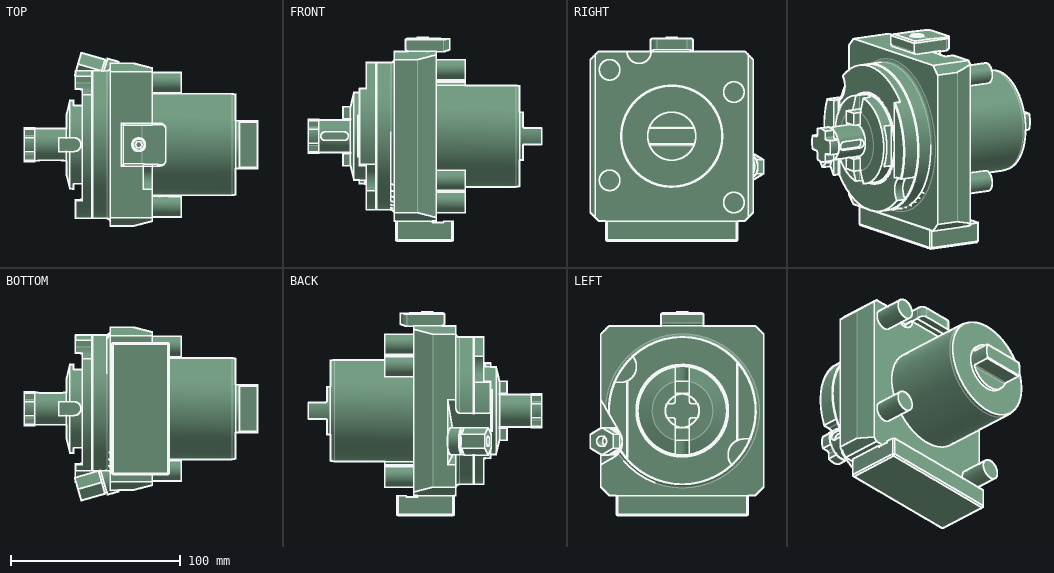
import cadquery as cq
import math


plate_depth = 24.9
plate_width = 96.0
plate_height = 100.0
plate_corner = 5.0
plate_taper_start = 13.6
plate_taper = 2.9
plate_back_notch_depth = 5.5
plate_back_notch_y = -19.3
plate_back_notch_radius = 7.2

disc_radius = 43.5
disc_front = -16.5
notch_floor = -10.7
groove_width = 0.4
groove_depth = 0.3
root_fillet = 1.9
seal_outer_radius = 27.2
seal_inner_radius = 26.5
seal_depth = 0.7
pad_front = -20.6
pad_inner_y = 32.2
pad_crest_z = 17.5
pad_low_z = 28.2
pad_rim_edge = 0.4
pad_end_fillet = 0.8
pad_ledge_width = 0.4
pad_ledge_height = 0.8
notch_y = 36.3
notch_low_z = 16.6
notch_radius = 9.4

flange_radius = 26.1
flange_front = -25.7
flange_rim_front = -23.7
flange_face_radius = 17.9
flat_front = -21.5
flat_y = 23.1

key_width = 8.1
key_front = -30.3
key_back = -17.2
key_inner_z = 10.2
key_outer_z = 17.5

shaft_radius = 9.6
tip_front = -50.6
tip_back = -44.4
tip_radius = 10.0
cross_width = 8.4
cross_fillet = 1.2
keyway_start = -43.2
keyway_end = -27.0
keyway_width = 5.1
keyway_depth = 3.0

spigot_radius = 30.0
spigot_end = 73.9
spigot_taper_length = 2.2
spigot_taper = 0.4
tang_radius = 14.2
tang_collar_end = 75.9
tang_end = 87.0
tang_thickness = 9.9
tang_fillet = 0.7
tang_edge = 0.4
pin_radius = 6.0
pin_end = 42.0
pin_y = 36.6
far_pin_z = 39.0
near_pin_z = 26.0

clamp_front = 6.6
clamp_back = 32.9
clamp_width = 25.2
clamp_top = 57.8
clamp_ridge = 18.6
clamp_rear_drop = 0.4
clamp_lip_drop = 0.4
clamp_lip_flat_end = 29.0
clamp_heel_rise = 1.0
clamp_corner = 3.9
clamp_bevel_width = 1.2
clamp_bevel_height = 1.0
clamp_front_fillet = 1.7
screw_x = 16.8
screw_radius = 3.3
screw_recess_radius = 4.0
screw_recess_depth = 0.8
screw_top = 58.2
screw_socket_radius = 2.0
screw_socket_depth = 2.0

block_front = 0.8
block_back = 35.0
block_width = 77.9
block_height = 12.0
block_edge = 1.0
block_relief_start = 22.7
block_relief_end = 29.2
block_relief_depth = 0.8

nozzle_tilt = 16
nozzle_x = -19.0
nozzle_y = 47.5
nozzle_z = -18.0
hex_flats = 14.0
hex_length = 14.6
neck_radius = 6.3
collar_start = 15.8
collar_radius = 8.0
nozzle_hole_radius = 3.0
nozzle_hole_depth = 12.4
seat_distance = 22.7
seat_reach = 34.4
seat_center_y = 45.7
seat_center_z = -18.5
seat_corner_radius = 10.5
seat_turn = -30


def x_cylinder(radius, start, end, y=0, z=0):
    """Cylinder along X between two X positions."""
    return cq.Workplane("YZ", origin=(start, y, z)).circle(radius).extrude(end - start)


def span_box(x_range, y_range, z_range):
    """Box between two limits along each axis."""
    sizes = [high - low for low, high in (x_range, y_range, z_range)]
    low_corner = (x_range[0], y_range[0], z_range[0])
    return cq.Workplane("XY").box(*sizes, centered=False).translate(low_corner)


def half_turn(shape):
    """The same shape turned half a turn about the tool axis."""
    return shape.rotate((0, 0, 0), (1, 0, 0), 180)


def make_plate():
    """Plate with corner chamfers, tapered sides and a round notch in its top back edge."""
    half_width = plate_width / 2
    outline = [
        (0, -half_width),
        (plate_taper_start, -half_width),
        (plate_depth, plate_taper - half_width),
        (plate_depth, half_width - plate_taper),
        (plate_taper_start, half_width),
        (0, half_width),
    ]
    tapered = cq.Workplane("XY").polyline(outline).close().extrude(plate_height / 2, both=True)
    chamfered = (
        cq.Workplane("YZ").rect(plate_width, plate_height).extrude(plate_depth)
        .edges("|X").chamfer(plate_corner)
    )
    back_notch = x_cylinder(
        plate_back_notch_radius, plate_depth - plate_back_notch_depth, plate_depth,
        plate_back_notch_y, plate_height / 2,
    )
    return tapered.intersect(chamfered).cut(back_notch)


def make_disc():
    """Disc with a flared root, a thin groove, two raised pads and two notches."""
    flare_radius = disc_radius + root_fillet
    arc_shift = root_fillet * (1 - math.sqrt(0.5))
    disc = (
        cq.Workplane("XY").moveTo(disc_front, 0)
        .lineTo(disc_front, disc_radius)
        .lineTo(notch_floor, disc_radius)
        .lineTo(notch_floor, disc_radius - groove_depth)
        .lineTo(notch_floor + groove_width, disc_radius - groove_depth)
        .lineTo(notch_floor + groove_width, disc_radius)
        .lineTo(-root_fillet, disc_radius)
        .threePointArc((-arc_shift, disc_radius + arc_shift), (0, flare_radius))
        .lineTo(0, 0).close()
        .revolve(360, (0, 0, 0), (1, 0, 0))
    )
    seal_groove = x_cylinder(seal_outer_radius, disc_front, disc_front + seal_depth).cut(
        x_cylinder(seal_inner_radius, disc_front, disc_front + seal_depth)
    )
    pad_z = (-pad_low_z, pad_crest_z)
    ledge_y = (pad_inner_y, disc_radius)
    wall_y = (pad_inner_y + pad_ledge_width, disc_radius)
    pad_rim = x_cylinder(disc_radius, pad_front, disc_front).faces("<X").chamfer(pad_rim_edge)
    wall = span_box((pad_front, disc_front), wall_y, pad_z)
    ledge = span_box((disc_front - pad_ledge_height, disc_front), ledge_y, pad_z)
    wall = wall.edges("|X and <Y").fillet(pad_end_fillet)
    ledge = ledge.edges("|X and <Y").fillet(pad_end_fillet)
    pad = wall.union(ledge).intersect(pad_rim)
    notch_z = notch_low_z + notch_radius
    notch = x_cylinder(notch_radius, pad_front, notch_floor, notch_y, notch_z).union(
        span_box((pad_front, notch_floor), (notch_y, disc_radius), (notch_low_z, notch_z))
    )
    disc = disc.cut(seal_groove)
    for next_pad, next_notch in ((pad, notch), (half_turn(pad), half_turn(notch))):
        disc = disc.union(next_pad).cut(next_notch)
    return disc


def key_shape(low_z, high_z):
    """Drive key with a flat front end and a round back end."""
    half = key_width / 2
    return (
        cq.Workplane("XY", origin=(0, 0, low_z))
        .moveTo(key_front, -half)
        .lineTo(key_back - half, -half)
        .threePointArc((key_back, 0), (key_back - half, half))
        .lineTo(key_front, half).close()
        .extrude(high_z - low_z)
    )


def make_flange():
    """Flange with a conical face, two side flats and two slots holding the drive keys."""
    flange = (
        cq.Workplane("XY")
        .polyline([
            (flange_front, 0),
            (flange_front, flange_face_radius),
            (flange_rim_front, flange_radius),
            (disc_front, flange_radius),
            (disc_front, 0),
        ]).close().revolve(360, (0, 0, 0), (1, 0, 0))
    )
    side_z = (-flange_radius, flange_radius)
    side = span_box((flat_front, disc_front), (flat_y, flange_radius), side_z)
    slot = key_shape(key_outer_z, seal_outer_radius)
    key = key_shape(key_inner_z, key_outer_z)
    flange = flange.cut(side).cut(half_turn(side)).cut(slot).cut(half_turn(slot))
    return flange.union(key).union(half_turn(key))


def make_shaft():
    """Shaft with a keyway on its -Y side and a cross-shaped tip."""
    shaft = x_cylinder(shaft_radius, tip_back, flange_front)
    tip_length = tip_back - tip_front
    cross = (
        cq.Workplane("YZ", origin=(tip_front, 0, 0))
        .rect(cross_width, 2 * tip_radius).extrude(tip_length)
        .union(
            cq.Workplane("YZ", origin=(tip_front, 0, 0))
            .rect(2 * tip_radius, cross_width).extrude(tip_length)
        )
    )
    inner_corners = cq.selectors.BoxSelector(
        (tip_front - 1.4, -cross_width, -cross_width), (tip_back + 1.4, cross_width, cross_width)
    )
    cross = cross.edges("|X").edges(inner_corners).fillet(cross_fillet)
    tip = cross.intersect(x_cylinder(tip_radius, tip_front, tip_back))
    keyway = (
        cq.Workplane("XZ", origin=((keyway_start + keyway_end) / 2, -shaft_radius, 0))
        .slot2D(keyway_end - keyway_start, keyway_width).extrude(-keyway_depth)
    )
    return shaft.cut(keyway).union(tip)


def make_rear():
    """Spigot, tang with its collar, and the four pins."""
    spigot = (
        cq.Workplane("YZ", origin=(plate_depth, 0, 0)).circle(spigot_radius)
        .extrude(spigot_end - plate_depth)
        .faces(">X").chamfer(spigot_taper_length, spigot_taper)
    )
    collar = x_cylinder(tang_radius, spigot_end, tang_collar_end)
    half = tang_thickness / 2
    root = half + tang_fillet
    root_x = tang_collar_end + tang_fillet
    arc_shift = tang_fillet * (1 - math.sqrt(0.5))
    tang = (
        cq.Workplane("XZ").moveTo(tang_collar_end, -root)
        .threePointArc((tang_collar_end + arc_shift, -half - arc_shift), (root_x, -half))
        .lineTo(tang_end - tang_edge, -half)
        .lineTo(tang_end, tang_edge - half)
        .lineTo(tang_end, half - tang_edge)
        .lineTo(tang_end - tang_edge, half)
        .lineTo(root_x, half)
        .threePointArc((tang_collar_end + arc_shift, half + arc_shift), (tang_collar_end, root))
        .close().extrude(tang_radius, both=True)
        .intersect(x_cylinder(tang_radius, tang_collar_end, tang_end))
    )
    rear = spigot.union(collar).union(tang)
    for y, z in ((-pin_y, far_pin_z), (-pin_y, -near_pin_z)):
        pin = x_cylinder(pin_radius, plate_depth, pin_end, y, z)
        rear = rear.union(pin).union(half_turn(pin))
    return rear


def make_clamp():
    """Clamp on the plate's top face, hooked over the back, with its screw."""
    seat = plate_height / 2
    lip = seat - clamp_lip_drop
    side = [
        (clamp_front, seat),
        (clamp_front, clamp_top - clamp_bevel_height),
        (clamp_front + clamp_bevel_width, clamp_top),
        (clamp_ridge, clamp_top),
        (clamp_back, clamp_top - clamp_rear_drop),
        (clamp_back, seat + clamp_heel_rise),
        (clamp_lip_flat_end, lip),
        (plate_depth, lip),
        (plate_depth, seat),
    ]
    clamp = (
        cq.Workplane("XZ").polyline(side).close().extrude(clamp_width / 2, both=True)
        .edges("|Z and >X").fillet(clamp_corner)
        .edges(cq.selectors.NearestToPointSelector((clamp_front, 0, seat))).fillet(clamp_front_fillet)
    )
    top_bevel = (
        cq.Workplane("YZ")
        .polyline([
            (clamp_width / 2 - clamp_bevel_width, clamp_top),
            (clamp_width / 2, clamp_top),
            (clamp_width / 2, clamp_top - clamp_bevel_height),
        ]).close().extrude(clamp_back)
    )
    clamp = clamp.cut(top_bevel).cut(top_bevel.mirror("XZ"))
    recess_floor = clamp_top - screw_recess_depth
    recess = (
        cq.Workplane("XY", origin=(screw_x, 0, recess_floor))
        .circle(screw_recess_radius).extrude(screw_recess_depth)
    )
    screw = (
        cq.Workplane("XY", origin=(screw_x, 0, recess_floor))
        .circle(screw_radius).extrude(screw_top - recess_floor)
    )
    socket = (
        cq.Workplane("XY", origin=(screw_x, 0, screw_top))
        .polygon(6, 2 * screw_socket_radius).extrude(-screw_socket_depth)
    )
    return clamp.cut(recess).union(screw).cut(socket)


def make_block():
    """Chamfered block with a shallow relief across its top."""
    top = -plate_height / 2
    half_width = block_width / 2
    block = (
        span_box((block_front, block_back), (-half_width, half_width), (top - block_height, top))
        .edges("|Z or <Z").chamfer(block_edge)
    )
    relief = span_box(
        (block_relief_start, block_relief_end), (-half_width, half_width),
        (top - block_relief_depth, top),
    )
    return block.cut(relief)


def nozzle_plane(distance):
    """Plane across the nozzle axis: local X is mostly +Y, local Y is +Z, normal points inwards."""
    tilt = math.radians(nozzle_tilt)
    axis = cq.Vector(math.cos(tilt), -math.sin(tilt), 0)
    origin = cq.Vector(nozzle_x, nozzle_y, nozzle_z) + axis * distance
    return cq.Workplane(cq.Plane(origin, cq.Vector(math.sin(tilt), math.cos(tilt), 0), axis))


def make_nozzle_seat():
    """Cut along X with two square walls and a round inner corner, floored across the nozzle axis."""
    radius = seat_corner_radius
    walls = (
        cq.Workplane("YZ", origin=(pad_front, seat_center_y, seat_center_z))
        .transformed(rotate=(0, 0, seat_turn))
        .moveTo(0, -radius)
        .lineTo(seat_reach, -radius)
        .lineTo(seat_reach, seat_reach)
        .lineTo(-radius, seat_reach)
        .lineTo(-radius, 0)
        .radiusArc((0, -radius), -radius).close()
        .extrude(plate_depth - pad_front)
    )
    span = 4 * seat_reach
    above_floor = nozzle_plane(seat_distance).rect(span, span).extrude(-span)
    return walls.intersect(above_floor)


def make_nozzle():
    """Hexagonal nozzle on a neck and collar, with a blind hole in its end."""
    hexagon = nozzle_plane(0).polygon(6, hex_flats, circumscribed=True).extrude(hex_length)
    neck = nozzle_plane(hex_length).circle(neck_radius).extrude(collar_start - hex_length)
    collar = nozzle_plane(collar_start).circle(collar_radius).extrude(seat_distance - collar_start)
    hole = nozzle_plane(0).circle(nozzle_hole_radius).extrude(nozzle_hole_depth)
    return hexagon.union(neck).union(collar).cut(hole)


result = make_plate().union(make_disc()).cut(make_nozzle_seat())
for part in (make_flange(), make_shaft(), make_rear(), make_clamp(), make_block(), make_nozzle()):
    result = result.union(part)